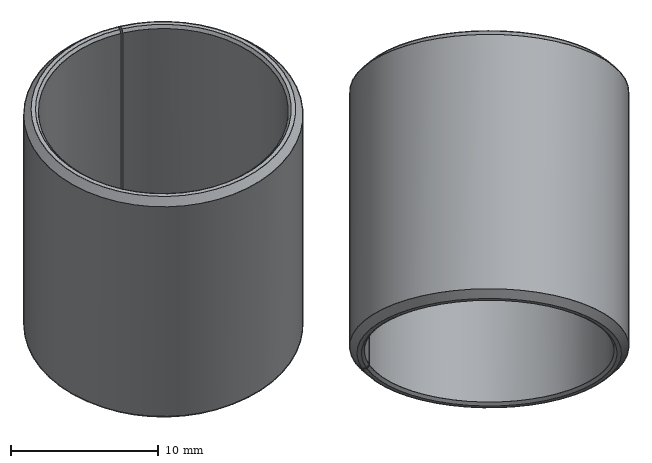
import cadquery as cq

length = 20.0
outer_diameter = 19.0
wall = 1.0
outer_chamfer = 0.5
inner_chamfer = 0.2

slit_angle = 1.0
slit_direction = 180.0

outer_radius = outer_diameter / 2
inner_radius = outer_radius - wall
half_length = length / 2

upper_section = [
    (inner_radius, half_length - inner_chamfer),
    (inner_radius + inner_chamfer, half_length),
    (outer_radius - outer_chamfer, half_length),
    (outer_radius, half_length - outer_chamfer),
]
lower_section = [(radius, -height) for radius, height in reversed(upper_section)]

result = (
    cq.Workplane("XZ")
    .polyline(upper_section + lower_section)
    .close()
    .revolve(360 - slit_angle, (0, 0, 0), (0, 1, 0))
    .rotate((0, 0, 0), (0, 0, 1), slit_direction)
)